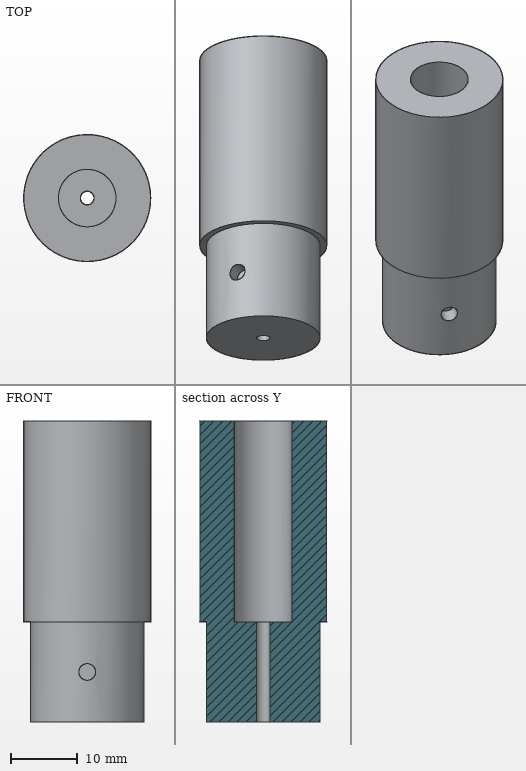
import cadquery as cq

body_diameter = 19.0
body_length = 30.0
spigot_diameter = 17.0
spigot_length = 15.0
total_length = spigot_length + body_length

bore_diameter = 8.6
bore_depth = body_length
axial_hole_diameter = 2.0

side_hole_diameter = 2.5
side_hole_height = spigot_length / 2
side_hole_depth = 2.5


def upright_cylinder(diameter, length, base_height):
    return cq.Workplane("XY").workplane(offset=base_height).circle(diameter / 2).extrude(length)


def side_hole(side):
    """Blind hole entering the spigot from the +Y (side = 1) or -Y (side = -1) surface."""
    start = cq.Vector(0, side * spigot_diameter / 2, side_hole_height)
    inward = cq.Vector(0, -side, 0)
    return cq.Solid.makeCylinder(side_hole_diameter / 2, side_hole_depth, start, inward)


spigot = upright_cylinder(spigot_diameter, spigot_length, 0)
body = upright_cylinder(body_diameter, body_length, spigot_length)
bore = upright_cylinder(bore_diameter, bore_depth, total_length - bore_depth)
axial_hole = upright_cylinder(axial_hole_diameter, total_length, 0)

result = spigot.union(body).cut(bore).cut(axial_hole)
for side in (-1, 1):
    result = result.cut(side_hole(side))